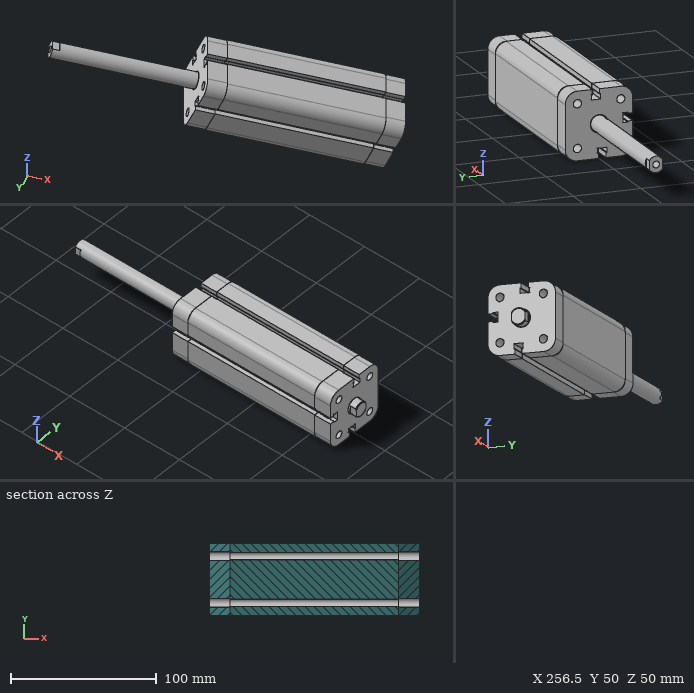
import cadquery as cq
import math

total_length = 256.5
front_stroke = 106.0
rear_stub = 6.2
cap_length = 14.4
body_end = total_length - rear_stub
tube_start = front_stroke + cap_length
tube_end = body_end - cap_length
tube_length = tube_end - tube_start

side = 50.0
cap_corner_radius = 8.7
tube_corner_radius = 8.0

cap_slot_offset = 2.3
tube_slot_offset = 2.5
slot_mouth_width = 5.5
slot_mouth_depth = 3.8
cap_undercut_width = 7.0
cap_slot_depth = 7.5
tube_undercut_width = 6.2
tube_slot_depth = 7.0
slot_turns = (0, 90, 180)

screw_spacing = 32.0
cap_screw_diameter = 6.0
tube_screw_diameter = 5.0

rod_diameter = 12.0
cap_bore_countersink = 0.5
flat_width = 10.0
flat_length = 5.1
rear_chamfer = 0.5
thread_diameter = 5.0
thread_depth = 10.3
drill_tip_angle = 118.0


def x_plane(x):
    """Plane facing +X at the given x, with local x along Y and local y along Z."""
    return cq.Workplane("YZ", origin=(x, 0, 0))


def slot_cutter(start, length, offset, undercut_width, depth):
    """Undercut slot in the top face, running along X."""
    mouth = (
        x_plane(start)
        .center(offset, side / 2 - slot_mouth_depth / 2)
        .rect(slot_mouth_width, slot_mouth_depth)
        .extrude(length)
    )
    undercut_height = depth - slot_mouth_depth
    undercut = (
        x_plane(start)
        .center(offset, side / 2 - slot_mouth_depth - undercut_height / 2)
        .rect(undercut_width, undercut_height)
        .extrude(length)
    )
    return mouth.union(undercut)


def make_section(start, length, corner_radius, slot_offset, undercut_width, slot_depth, screw_diameter):
    """Square block along X with rounded edges, rod bore, screw holes and slots."""
    block = x_plane(start).rect(side, side).extrude(length).edges("|X").fillet(corner_radius)
    bore = x_plane(start).circle(rod_diameter / 2).extrude(length)
    screws = (
        x_plane(start)
        .rect(screw_spacing, screw_spacing, forConstruction=True)
        .vertices()
        .circle(screw_diameter / 2)
        .extrude(length)
    )
    block = block.cut(bore).cut(screws)
    slot = slot_cutter(start, length, slot_offset, undercut_width, slot_depth)
    for turn in slot_turns:
        block = block.cut(slot.rotate((0, 0, 0), (1, 0, 0), turn))
    return block


def make_cap(start, outer_face):
    """End cap whose rod bore is countersunk on the outer face."""
    cap = make_section(
        start,
        cap_length,
        cap_corner_radius,
        cap_slot_offset,
        cap_undercut_width,
        cap_slot_depth,
        cap_screw_diameter,
    )
    bore_rim = cq.selectors.RadiusNthSelector(1)
    return cap.faces(outer_face).edges("%CIRCLE").edges(bore_rim).chamfer(cap_bore_countersink)


def make_tube():
    """Profile tube between the two end caps."""
    return make_section(
        tube_start,
        tube_length,
        tube_corner_radius,
        tube_slot_offset,
        tube_undercut_width,
        tube_slot_depth,
        tube_screw_diameter,
    )


def make_rod():
    """Round rod with wrench flats at both ends and a drilled hole in the front end."""
    rod = x_plane(0).circle(rod_diameter / 2).extrude(total_length)
    rod = rod.faces(">X").edges().chamfer(rear_chamfer)

    flat_depth = (rod_diameter - flat_width) / 2
    flat_centre = (flat_width + flat_depth) / 2
    for flat_start in (0, total_length - flat_length):
        for direction in (-1, 1):
            relief = (
                x_plane(flat_start)
                .center(direction * flat_centre, 0)
                .rect(flat_depth, rod_diameter)
                .extrude(flat_length)
            )
            rod = rod.cut(relief)

    thread_radius = thread_diameter / 2
    tip_length = thread_radius / math.tan(math.radians(drill_tip_angle / 2))
    drilled_hole = (
        cq.Workplane("XZ")
        .polyline([(0, 0), (0, thread_radius), (thread_depth, thread_radius), (thread_depth + tip_length, 0)])
        .close()
        .revolve(360, (0, 0, 0), (1, 0, 0))
    )
    return rod.cut(drilled_hole)


front_cap = make_cap(front_stroke, "<X")
rear_cap = make_cap(tube_end, ">X")
tube = make_tube()
rod = make_rod()

bodies = [front_cap, tube, rear_cap, rod]
result = cq.Compound.makeCompound([body.solids().val() for body in bodies])